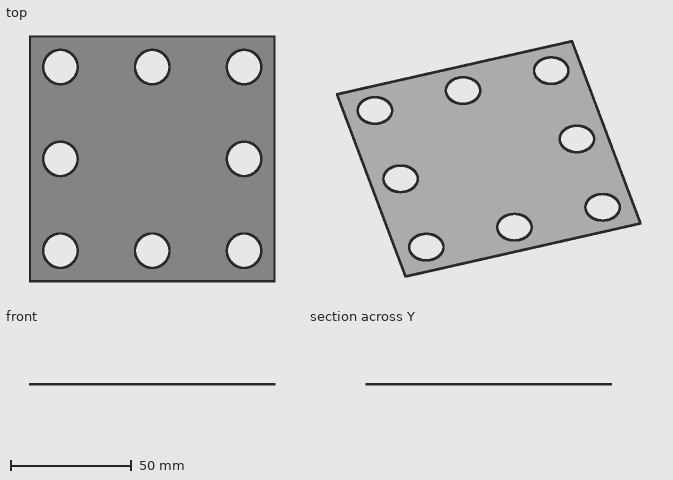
import cadquery as cq

plate_side = 101.6
plate_thickness = 0.25
hole_diameter = 14.2
edge_to_hole_center = 12.7

hole_offset = plate_side / 2 - edge_to_hole_center

row_positions = (-hole_offset, 0, hole_offset)
hole_centers = [(x, y) for x in row_positions for y in row_positions if (x, y) != (0, 0)]

plate = cq.Workplane("XY").box(plate_side, plate_side, plate_thickness)

result = plate.faces(">Z").workplane().pushPoints(hole_centers).hole(hole_diameter)